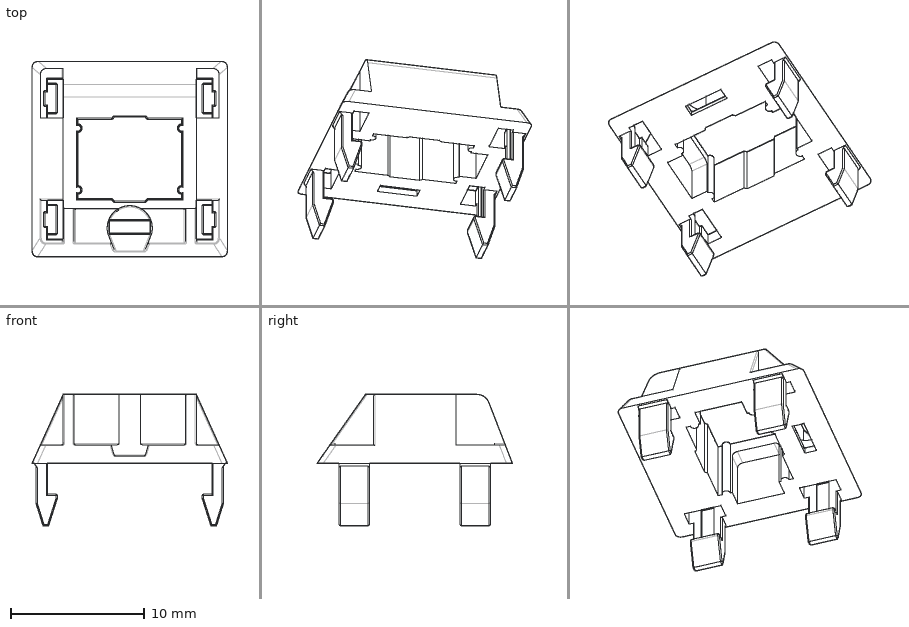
import cadquery as cq
import math

base_half = 7.35
height = 5.2
top_half_x = 5.0
top_front_y = -3.7
back_virtual_y = 5.34
back_round = 1.0
base_corner_round = 0.5
corner_zone = 6.2
edge_break = 0.1

shelf_z = 1.4

notch_y = 3.1
opening_outer_x = 6.17
opening_end_y = 6.0
groove_depth = 0.2
groove_width = 1.0

leg_length = 4.7
leg_outer_x = 7.05
leg_root_flare = 0.15
leg_root_flare_height = 0.2
leg_taper_z = -3.0
leg_tip_outer_x = 6.52
leg_tip_inner_x = 6.1
hook_x = 5.43
hook_top_z = -2.3
hook_side = 0.3
leg_width = 2.3
leg_y = 4.55

cavity_half_x = 3.9
cavity_half_y = 2.97
relief_half_x = 1.15
relief_depth = 0.18
rib_radius = 0.32
rib_y = 2.32
side_recess_x = 5.2
side_recess_half_y = 1.85
side_recess_top_z = 4.15
side_recess_round = 0.4

shelf_half_x = 4.18
keyhole_radius = 1.7
keyhole_y = -5.2
keyhole_floor_z = 0.55
keyhole_neck_y = -5.6
keyhole_mouth_half_x = 1.1
slot_half_x = 1.53
slot_front_y = -5.57
slot_back_y = -4.65

CORNERS = [(sx, sy) for sx in (-1, 1) for sy in (-1, 1)]


def box(x0, x1, y0, y1, z0, z1):
    """Axis-aligned box between two corners given in either order."""
    plan = cq.Workplane("XY", origin=((x0 + x1) / 2, (y0 + y1) / 2, min(z0, z1)))
    return plan.rect(abs(x1 - x0), abs(y1 - y0)).extrude(abs(z1 - z0))


def flare(prism):
    """45 degree bevel around the top outline of an upright prism."""
    outline = prism.faces(">Z").wires().val().translate(cq.Vector(0, 0, -edge_break))
    return cq.Workplane(cq.Solid.extrudeLinear(outline, [], cq.Vector(0, 0, edge_break), -45))


def make_body():
    """Truncated pyramid with a rounded top back edge."""
    across_x = (
        cq.Workplane("XZ")
        .polyline([
            (-base_half, 0),
            (base_half, 0),
            (top_half_x, height),
            (-top_half_x, height),
        ])
        .close()
        .extrude(base_half, both=True)
    )
    across_y = (
        cq.Workplane("YZ")
        .polyline([
            (-base_half, 0),
            (base_half, 0),
            (back_virtual_y, height),
            (top_front_y, height),
        ])
        .close()
        .extrude(base_half, both=True)
        .edges("|X")
        .edges(">Z")
        .edges(">Y")
        .fillet(back_round)
    )
    return across_x.intersect(across_y)


def cut_corner_notches(body):
    """Remove each corner above the shelf height and round the slanted edges left behind."""
    for sx, sy in CORNERS:
        notch = box(sx * top_half_x, sx * base_half, sy * notch_y, sy * base_half, shelf_z, height)
        foot = "<X" if sx > 0 else ">X"
        body = body.cut(notch.edges("|Y").edges("<Z").edges(foot).fillet(edge_break))
    for sx, sy in CORNERS:
        zone = cq.selectors.BoxSelector(
            (sx * corner_zone, sy * corner_zone, edge_break),
            (sx * base_half, sy * base_half, shelf_z - edge_break),
        )
        body = body.edges(zone).fillet(base_corner_round)
    return body


def soften_front_edges(body):
    """Round the edges where the front face and the front notches meet the outer slopes."""
    front_zone = cq.selectors.BoxSelector(
        (-corner_zone, -base_half, edge_break),
        (corner_zone, top_front_y - edge_break, height - edge_break),
    )
    wall_zone = cq.selectors.BoxSelector(
        (-base_half, -notch_y - edge_break, shelf_z + edge_break),
        (base_half, -notch_y + edge_break, height - edge_break),
    )
    front_normal = cq.Vector(0, -height, base_half + top_front_y)
    edges = body.faces(cq.selectors.DirectionSelector(front_normal)).edges(front_zone)
    for side in (-1, 1):
        side_normal = cq.Vector(side * height, 0, base_half - top_half_x)
        edges = edges.add(body.faces(cq.selectors.DirectionSelector(side_normal)).edges(wall_zone))
    return edges.fillet(edge_break)


def make_leg():
    """Snap leg on the +X side with an inward hook, centred on the X axis."""
    leg = (
        cq.Workplane("XZ")
        .polyline([
            (opening_outer_x, 0),
            (leg_outer_x + leg_root_flare, 0),
            (leg_outer_x, -leg_root_flare_height),
            (leg_outer_x, leg_taper_z),
            (leg_tip_outer_x, -leg_length),
            (leg_tip_inner_x, -leg_length),
            (hook_x, hook_top_z - hook_side),
            (hook_x, hook_top_z - edge_break),
            (hook_x + edge_break, hook_top_z),
            (opening_outer_x, hook_top_z),
        ])
        .close()
        .extrude(leg_width / 2, both=True)
    )
    ends = cq.selectors.BoxSelector(
        (0, -base_half, -leg_length - edge_break), (base_half, base_half, -leg_root_flare_height)
    )
    return leg.faces("<Y or >Y").edges(ends).chamfer(edge_break)


def add_legs(body):
    leg = make_leg()
    for sx, sy in CORNERS:
        side = leg if sx > 0 else leg.mirror("YZ")
        body = body.union(side.translate((0, sy * leg_y, 0)))
    return body


def cut_corner_openings(body):
    """Opening through each notch floor, with a groove running down to the hook."""
    for sx, sy in CORNERS:
        wall_x = sx * top_half_x
        outer_x = sx * opening_outer_x
        groove_x = sx * (opening_outer_x + groove_depth)
        groove_start_y = sy * leg_y - groove_width / 2
        groove_end_y = sy * leg_y + groove_width / 2
        opening = box(wall_x, outer_x, sy * notch_y, sy * opening_end_y, 0, shelf_z)
        opening = opening.union(box(outer_x, groove_x, groove_start_y, groove_end_y, 0, shelf_z))
        body = body.cut(opening)
        body = body.cut(box(outer_x, groove_x, groove_start_y, groove_end_y, hook_top_z, 0))
        outside_walls = box(wall_x, sx * base_half, sy * notch_y, sy * base_half, 0, shelf_z)
        body = body.cut(flare(opening).intersect(outside_walls))
        body = body.cut(
            box(wall_x, outer_x, sy * notch_y, sy * opening_end_y, shelf_z, shelf_z + edge_break)
        )
    return body


def cut_cavity(body):
    """Through cavity with wall reliefs and four round ribs, chamfered at its top rim."""
    cavity = box(-cavity_half_x, cavity_half_x, -cavity_half_y, cavity_half_y, 0, height)
    relief_y = cavity_half_y + relief_depth
    relief_mouth_half_x = relief_half_x + relief_depth
    reliefs = (
        cq.Workplane("XY")
        .polyline([
            (-relief_half_x, relief_y),
            (relief_half_x, relief_y),
            (relief_mouth_half_x, cavity_half_y),
            (relief_mouth_half_x, -cavity_half_y),
            (relief_half_x, -relief_y),
            (-relief_half_x, -relief_y),
            (-relief_mouth_half_x, -cavity_half_y),
            (-relief_mouth_half_x, cavity_half_y),
        ])
        .close()
        .extrude(height)
    )
    cavity = cavity.union(reliefs)
    rib_places = [(sx * cavity_half_x, sy * rib_y) for sx, sy in CORNERS]
    cavity = cavity.cut(cq.Workplane("XY").pushPoints(rib_places).circle(rib_radius).extrude(height))
    body = body.cut(cavity)
    rim = cq.selectors.BoxSelector(
        (-cavity_half_x - edge_break, -relief_y - edge_break, height - edge_break),
        (cavity_half_x + edge_break, relief_y + edge_break, height + edge_break),
    )
    return body.edges(rim).chamfer(edge_break)


def cut_side_recesses(body):
    """Recess into both side walls of the cavity, open below, with rounded upper corners."""
    recess = (
        box(-side_recess_x, side_recess_x, -side_recess_half_y, side_recess_half_y, 0, side_recess_top_z)
        .edges("|X and >Z")
        .fillet(side_recess_round)
    )
    return body.cut(recess)


def cut_front_shelf(body):
    """Open shelf in the front face with filleted inner edges."""
    shelf = (
        box(-shelf_half_x, shelf_half_x, -base_half, top_front_y, shelf_z, height)
        .edges("<Z and (|X or |Y)")
        .edges("not <Y")
        .fillet(edge_break)
    )
    return body.cut(shelf)


def cut_keyhole(body):
    """Round pocket with a tapered mouth through the front face, and a slot in its floor."""
    neck_half_x = math.sqrt(keyhole_radius**2 - (keyhole_neck_y - keyhole_y) ** 2)
    floor_front_y = -base_half + keyhole_floor_z * (base_half + top_front_y) / height
    mouth_slope = (neck_half_x - keyhole_mouth_half_x) / (keyhole_neck_y - floor_front_y)
    front_half_x = keyhole_mouth_half_x - mouth_slope * (floor_front_y + base_half)
    outline = (
        cq.Sketch()
        .segment((-neck_half_x, keyhole_neck_y), (-front_half_x, -base_half))
        .segment((front_half_x, -base_half))
        .segment((neck_half_x, keyhole_neck_y))
        .arc((neck_half_x, keyhole_neck_y), (0, keyhole_y + keyhole_radius), (-neck_half_x, keyhole_neck_y))
        .assemble()
    )
    pocket = (
        cq.Workplane("XY", origin=(0, 0, keyhole_floor_z))
        .placeSketch(outline)
        .extrude(height - keyhole_floor_z)
        .faces("<Z")
        .edges("not |X")
        .fillet(edge_break)
    )
    body = body.cut(pocket)
    slot = (
        cq.Workplane("YZ")
        .polyline([
            (slot_front_y, 0),
            (slot_back_y, 0),
            (slot_back_y, keyhole_floor_z - edge_break),
            (slot_back_y + edge_break, keyhole_floor_z),
            (slot_front_y - edge_break, keyhole_floor_z),
            (slot_front_y, keyhole_floor_z - edge_break),
        ])
        .close()
        .extrude(slot_half_x, both=True)
    )
    return body.cut(slot)


body = cut_corner_notches(make_body())
body = cut_keyhole(cut_front_shelf(body))
body = soften_front_edges(body)
body = cut_corner_openings(add_legs(body))
result = cut_side_recesses(cut_cavity(body))